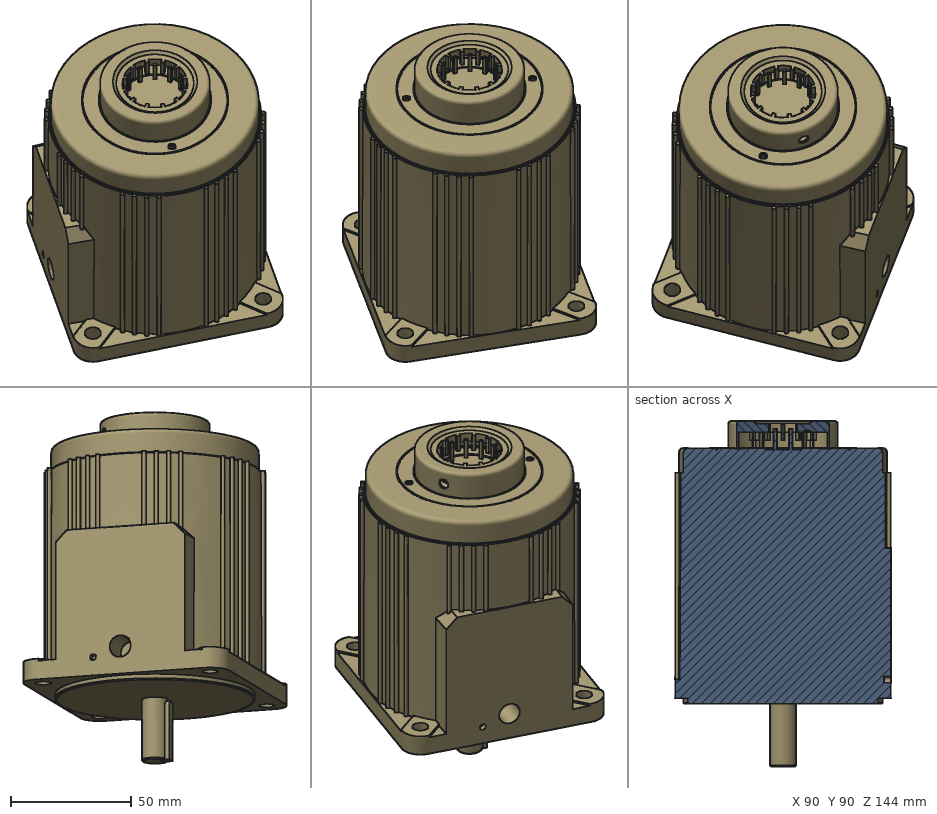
import cadquery as cq
import math


FLANGE_WIDTH = 90.0
FLANGE_HEIGHT = 7.9
FLANGE_CORNER_RADIUS = 8.4
PAD_WIDTH = 12.7
PAD_RISE = 0.9
MOUNT_HOLE_OFFSET = 36.7
MOUNT_HOLE_RADIUS = 3.3
PILOT_RADIUS = 41.6
PILOT_HEIGHT = 2.3
PILOT_CHAMFER = 0.6

BARREL_BASE_RADIUS = 44.8
BARREL_TOP_RADIUS = 44.4
BARREL_TOP = 94.0
BARREL_CHAMFER = 0.5
RIB_RADIUS = 0.9
RIB_CIRCLE_RADIUS = 45.2
RIB_FIRST_ANGLE = 13
RIB_ANGLE_STEP = 6.5
RIBS_PER_GROUP = 4

BOX_FRONT_HALF_WIDTH = 28.4
BOX_BACK_HALF_WIDTH = 28.8
BOX_BACK_Y = -33.1
BOX_TOP = 62.6
BOX_CHAMFER = 4.9
CABLE_HOLE_RADIUS = 4.6
CABLE_HOLE_Z = 11.7
CABLE_HOLE_DEPTH = 14.4
EARTH_HOLE_RADIUS = 1.3
EARTH_HOLE_X = -12.0
EARTH_HOLE_Z = 7.8
EARTH_HOLE_DEPTH = 2.9

CAP_RADIUS = 43.3
CAP_TOP = 104.3
CAP_FILLET = 1.9
RING_GROOVE_OUTER_RADIUS = 30.5
RING_GROOVE_WIDTH = 0.5
RING_GROOVE_DEPTH = 0.7
SPANNER_HOLE_X = 27.0
SPANNER_HOLE_RADIUS = 0.9
SPANNER_HOLE_DEPTH = 2.9
SPANNER_SEAT_RADIUS = 1.6
SPANNER_SEAT_DEPTH = 0.7

HUB_RADIUS = 22.9
HUB_TOP = 115.5
HUB_FILLET = 1.5
HUB_CAVITY_RADIUS = 22.0
SEAT_GROOVE_INNER_RADIUS = 20.2
SEAT_GROOVE_OUTER_RADIUS = 23.5
SEAT_GROOVE_DEPTH = 0.3
HUB_RECESS_RADIUS = 17.5
HUB_RECESS_FLOOR_RADIUS = 16.1
HUB_RECESS_DEPTH = 1.0
HUB_PLATE_THICKNESS = 3.7
HUB_BORE_RADIUS = 13.5
SET_SCREW_RADIUS = 2.2
SET_SCREW_Z = 109.3
SET_SCREW_ANGLE = 220

TOOTH_COUNT = 12
TOOTH_WIDTH = 1.5
TOOTH_INNER_RADIUS = 12.0
TOOTH_ROOT_OVERLAP = 0.3
TOOTH_LENGTH = 7.0
POST_OUTER_RADIUS = 13.0
POST_TOP = 112.2
WELL_RADIUS = 14.3
WELL_DEPTH = 0.6

SHAFT_RADIUS = 5.5
SHAFT_BOTTOM = -28.5
SHAFT_CHAMFER = 0.6
KEY_WIDTH = 4.3
KEY_TOP = -3.2
KEY_OUTER_X = 7.0
KEY_HEIGHT = 4.0

HALF_FLANGE = FLANGE_WIDTH / 2
SEAT_Z = CAP_TOP - SEAT_GROOVE_DEPTH
WELL_Z = CAP_TOP - WELL_DEPTH
HUB_PLATE_TOP = HUB_TOP - HUB_RECESS_DEPTH
HUB_PLATE_BOTTOM = HUB_PLATE_TOP - HUB_PLATE_THICKNESS
TOOTH_PITCH = 360 / TOOTH_COUNT


def cylinder(radius, bottom, top, x=0, y=0):
    return cq.Workplane("XY", origin=(x, y, bottom)).circle(radius).extrude(top - bottom)


def ring(outer_radius, inner_radius, bottom, top):
    return cylinder(outer_radius, bottom, top).cut(cylinder(inner_radius, bottom, top))


def radial_blocks(inner_radius, outer_radius, bottom, top, first_angle):
    """Equally spaced upright blocks that point at the axis."""
    block = cq.Workplane("XY", origin=(inner_radius, 0, bottom)).box(
        outer_radius - inner_radius, TOOTH_WIDTH, top - bottom, centered=(False, True, False)
    )
    blocks = cq.Workplane("XY")
    for index in range(TOOTH_COUNT):
        angle = first_angle + index * TOOTH_PITCH
        blocks = blocks.add(block.rotate((0, 0, 0), (0, 0, 1), angle))
    return blocks.combine()


def hole_in_front_face(x, z, radius, depth):
    plane = cq.Plane(origin=(x, -HALF_FLANGE, z), xDir=(1, 0, 0), normal=(0, 1, 0))
    return cq.Workplane(plane).circle(radius).extrude(depth)


def make_flange():
    """Square flange with raised corner pads, plus the round pilot below it."""
    pad_top = FLANGE_HEIGHT + PAD_RISE
    plate = cq.Workplane("XY").rect(FLANGE_WIDTH, FLANGE_WIDTH).extrude(pad_top)
    plate = plate.edges("|Z").fillet(FLANGE_CORNER_RADIUS)
    low_areas = cq.Workplane("XY", origin=(0, 0, FLANGE_HEIGHT)).rect(FLANGE_WIDTH, FLANGE_WIDTH)
    low_areas = low_areas.extrude(PAD_RISE)
    for angle in (45, 135):
        pad_strip = cq.Workplane("XY", origin=(0, 0, FLANGE_HEIGHT))
        pad_strip = pad_strip.rect(2 * FLANGE_WIDTH, PAD_WIDTH).extrude(PAD_RISE)
        low_areas = low_areas.cut(pad_strip.rotate((0, 0, 0), (0, 0, 1), angle))
    pilot = cylinder(PILOT_RADIUS, -PILOT_HEIGHT, 0).faces("<Z").chamfer(PILOT_CHAMFER)
    return plate.cut(low_areas).union(pilot)


def make_barrel():
    """Slightly tapered barrel with a group of rounded ribs either side of each side's middle."""
    barrel = cq.Workplane("XY").circle(BARREL_BASE_RADIUS).workplane(offset=BARREL_TOP)
    barrel = barrel.circle(BARREL_TOP_RADIUS).loft()
    barrel = barrel.faces(">Z").chamfer(BARREL_CHAMFER)
    for side_angle in (0, 90, 180, 270):
        for index in range(RIBS_PER_GROUP):
            offset = RIB_FIRST_ANGLE + index * RIB_ANGLE_STEP
            for angle in (side_angle - offset, side_angle + offset):
                x = RIB_CIRCLE_RADIUS * math.cos(math.radians(angle))
                y = RIB_CIRCLE_RADIUS * math.sin(math.radians(angle))
                barrel = barrel.union(cylinder(RIB_RADIUS, FLANGE_HEIGHT / 2, BARREL_TOP, x, y))
    return barrel


def make_terminal_box():
    """Box flush with the flange, widening towards the barrel and chamfered at its top corners."""
    plan = [
        (-BOX_FRONT_HALF_WIDTH, -HALF_FLANGE),
        (BOX_FRONT_HALF_WIDTH, -HALF_FLANGE),
        (BOX_BACK_HALF_WIDTH, BOX_BACK_Y),
        (-BOX_BACK_HALF_WIDTH, BOX_BACK_Y),
    ]
    box = cq.Workplane("XY").polyline(plan).close().extrude(BOX_TOP)
    return box.faces(">Z").edges("<X or >X").chamfer(BOX_CHAMFER)


def make_end_cap():
    """End cap with its ring groove, spanner holes, hub seat and the well that holds the posts."""
    cap = cylinder(CAP_RADIUS, BARREL_TOP, CAP_TOP).faces(">Z").edges().fillet(CAP_FILLET)
    ring_groove_inner_radius = RING_GROOVE_OUTER_RADIUS - RING_GROOVE_WIDTH
    cap = cap.cut(
        ring(RING_GROOVE_OUTER_RADIUS, ring_groove_inner_radius, CAP_TOP - RING_GROOVE_DEPTH, CAP_TOP)
    )
    for x in (-SPANNER_HOLE_X, SPANNER_HOLE_X):
        cap = cap.cut(cylinder(SPANNER_HOLE_RADIUS, CAP_TOP - SPANNER_HOLE_DEPTH, CAP_TOP, x))
        cap = cap.cut(cylinder(SPANNER_SEAT_RADIUS, CAP_TOP - SPANNER_SEAT_DEPTH, CAP_TOP, x))
    cap = cap.cut(ring(SEAT_GROOVE_OUTER_RADIUS, SEAT_GROOVE_INNER_RADIUS, SEAT_Z, CAP_TOP))
    cap = cap.cut(cylinder(WELL_RADIUS, WELL_Z, CAP_TOP))
    posts = radial_blocks(TOOTH_INNER_RADIUS, POST_OUTER_RADIUS, WELL_Z, POST_TOP, TOOTH_PITCH / 2)
    return cap.union(posts)


def make_housing():
    housing = make_flange().union(make_barrel()).union(make_terminal_box()).union(make_end_cap())
    for x in (-MOUNT_HOLE_OFFSET, MOUNT_HOLE_OFFSET):
        for y in (-MOUNT_HOLE_OFFSET, MOUNT_HOLE_OFFSET):
            housing = housing.cut(cylinder(MOUNT_HOLE_RADIUS, 0, FLANGE_HEIGHT + PAD_RISE, x, y))
    housing = housing.cut(hole_in_front_face(0, CABLE_HOLE_Z, CABLE_HOLE_RADIUS, CABLE_HOLE_DEPTH))
    housing = housing.cut(
        hole_in_front_face(EARTH_HOLE_X, EARTH_HOLE_Z, EARTH_HOLE_RADIUS, EARTH_HOLE_DEPTH)
    )
    return housing.cut(cylinder(SHAFT_RADIUS, -PILOT_HEIGHT, FLANGE_HEIGHT))


def make_hub():
    """Cup-shaped hub, open below, with a toothed bore through its top plate."""
    hub = cylinder(HUB_RADIUS, SEAT_Z, HUB_TOP).faces(">Z").edges().fillet(HUB_FILLET)
    hub = hub.cut(cylinder(HUB_CAVITY_RADIUS, SEAT_Z, HUB_PLATE_BOTTOM))
    hub = hub.cut(cylinder(HUB_BORE_RADIUS, HUB_PLATE_BOTTOM, HUB_TOP))
    recess = cq.Workplane("XY", origin=(0, 0, HUB_PLATE_TOP)).circle(HUB_RECESS_FLOOR_RADIUS)
    recess = recess.workplane(offset=HUB_RECESS_DEPTH).circle(HUB_RECESS_RADIUS).loft()
    hub = hub.cut(recess)
    tooth_root_radius = HUB_BORE_RADIUS + TOOTH_ROOT_OVERLAP
    tooth_bottom = HUB_PLATE_TOP - TOOTH_LENGTH
    hub = hub.union(radial_blocks(TOOTH_INNER_RADIUS, tooth_root_radius, tooth_bottom, HUB_PLATE_TOP, 0))
    set_screw_hole = cq.Workplane("YZ", origin=(HUB_BORE_RADIUS, 0, SET_SCREW_Z))
    set_screw_hole = set_screw_hole.circle(SET_SCREW_RADIUS).extrude(HUB_RADIUS - HUB_BORE_RADIUS)
    return hub.cut(set_screw_hole.rotate((0, 0, 0), (0, 0, 1), SET_SCREW_ANGLE))


def make_key():
    """Parallel key with a round upper end and a flat lower end flush with the shaft end."""
    half_width = KEY_WIDTH / 2
    straight_top = KEY_TOP - half_width
    outline = cq.Workplane("YZ", origin=(KEY_OUTER_X - KEY_HEIGHT, 0, 0))
    outline = outline.moveTo(-half_width, SHAFT_BOTTOM).lineTo(half_width, SHAFT_BOTTOM)
    outline = outline.lineTo(half_width, straight_top)
    outline = outline.threePointArc((0, KEY_TOP), (-half_width, straight_top)).close()
    return outline.extrude(KEY_HEIGHT)


def make_shaft(key):
    """Round shaft seated in the flange, with a keyway that matches the key."""
    shaft = cylinder(SHAFT_RADIUS, SHAFT_BOTTOM, FLANGE_HEIGHT).faces("<Z").chamfer(SHAFT_CHAMFER)
    return shaft.cut(key)


housing = make_housing()
hub = make_hub()
key = make_key()
shaft = make_shaft(key)

result = cq.Compound.makeCompound([housing.val(), hub.val(), shaft.val(), key.val()])